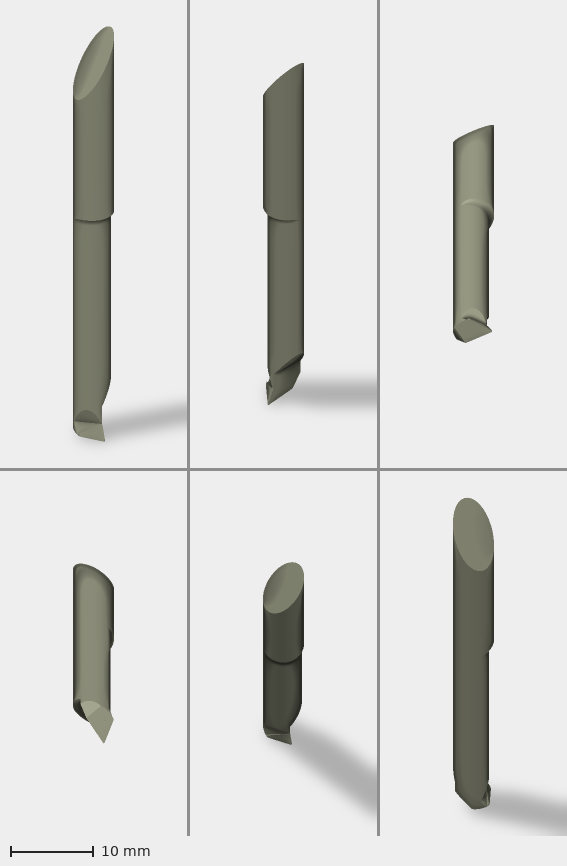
import cadquery as cq
import math

LENGTH = 56.6
RADIUS = 2.5
BEVEL_SLOPE = math.tan(math.radians(60))
MARGIN = 5.65

NECK_OFFSET = 0.75
NECK_TOP = 30.5
NECK_FILLET = 1.0

RAKE_Y = 0.2
RAKE_TOP = 4.5
CLEARANCE_X = 0.16
CLEARANCE_Y = 0.12
BACK_CHAMFER_TOP = 2.7
BACK_CHAMFER_SLOPE = 1.68

GROOVE_Z = 2.1
GROOVE_START = (-0.4, -2.45)
GROOVE_END = (1.75, RAKE_Y)
UPPER_SLOPE = 0.32
LOWER_SLOPE = 0.46

CORNER_Z_MINUS_X = 0.2
FLANK_Z = 0.3
FLANK_Y_RUN = 0.59
FLANK_RISE = 0.36


def prism_along_x(points):
    """Prism spanning the bar in X from a (Y, Z) outline."""
    return cq.Workplane("YZ").polyline(points).close().extrude(MARGIN, both=True)


def prism_along_y(points):
    """Prism spanning the bar in Y from an (X, Z) outline."""
    return cq.Workplane("XZ").polyline(points).close().extrude(MARGIN, both=True)


def end_bevel():
    high = LENGTH + MARGIN * BEVEL_SLOPE
    low_z = LENGTH - (RADIUS + MARGIN) * BEVEL_SLOPE
    return prism_along_x([(-MARGIN, low_z), (RADIUS + MARGIN, high), (-MARGIN, high)])


def rake_cut():
    outer_z = RAKE_TOP + (MARGIN - RAKE_Y) * BEVEL_SLOPE
    return prism_along_x([
        (RAKE_Y, -MARGIN), (MARGIN, -MARGIN), (MARGIN, outer_z), (RAKE_Y, RAKE_TOP),
    ])


def back_chamfer():
    inner_x = -RADIUS + BACK_CHAMFER_TOP / BACK_CHAMFER_SLOPE
    outer_z = BACK_CHAMFER_TOP + (MARGIN - RADIUS) * BACK_CHAMFER_SLOPE
    return prism_along_y([(-MARGIN, outer_z), (inner_x, 0), (-MARGIN, 0)])


def end_clearance():
    """Everything below the end face, which rises away from the cutting tip."""
    normal = cq.Vector(-CLEARANCE_X, -CLEARANCE_Y, -1)
    plane = cq.Plane(origin=(RADIUS, RAKE_Y, 0), xDir=(1, 0, -CLEARANCE_X), normal=normal)
    return cq.Workplane(plane).rect(4 * MARGIN, 4 * MARGIN).extrude(MARGIN)


def neck_relief():
    """Space around the neck, closed at the top by a concave fillet."""
    fillet_top = NECK_TOP + NECK_FILLET
    neck_core = (
        cq.Workplane("XZ")
        .moveTo(0, GROOVE_Z)
        .lineTo(RADIUS, GROOVE_Z)
        .lineTo(RADIUS, NECK_TOP)
        .radiusArc((RADIUS + NECK_FILLET, fillet_top), NECK_FILLET)
        .lineTo(0, fillet_top)
        .close()
        .revolve(360, (0, 0), (0, 1))
        .translate((-NECK_OFFSET, 0, 0))
    )
    envelope = cq.Workplane(origin=(0, 0, GROOVE_Z)).circle(RADIUS).extrude(fillet_top - GROOVE_Z)
    return envelope.cut(neck_core)


def edge_groove():
    run_x = GROOVE_END[0] - GROOVE_START[0]
    run_y = GROOVE_END[1] - GROOVE_START[1]
    plane = cq.Plane(
        origin=(*GROOVE_START, GROOVE_Z), xDir=(run_y, -run_x, 0), normal=(-run_x, -run_y, 0),
    )
    outline = [(0, 0), (MARGIN * UPPER_SLOPE, MARGIN), (MARGIN, MARGIN),
               (MARGIN, -MARGIN), (MARGIN * LOWER_SLOPE, -MARGIN)]
    return cq.Workplane(plane).polyline(outline).close().extrude(2 * MARGIN, both=True)


def corner_flank():
    """Everything outside the flank of the cutting corner."""
    plane = cq.Plane(
        origin=(RADIUS, RAKE_Y, FLANK_Z), xDir=(FLANK_Y_RUN, 1, 0), normal=(1, -FLANK_Y_RUN, FLANK_RISE),
    )
    return cq.Workplane(plane).rect(4 * MARGIN, 4 * MARGIN).extrude(MARGIN)


def bar_blank():
    """The whole bar before the groove and the flank are ground."""
    blank = cq.Workplane().circle(RADIUS).extrude(LENGTH)
    for cutter in (end_bevel(), neck_relief(), rake_cut(), back_chamfer(), end_clearance()):
        blank = blank.cut(cutter)
    return blank


def corner_region():
    return prism_along_y([
        (-MARGIN, CORNER_Z_MINUS_X - MARGIN),
        (GROOVE_Z - CORNER_Z_MINUS_X, GROOVE_Z),
        (MARGIN, GROOVE_Z),
        (MARGIN, CORNER_Z_MINUS_X - MARGIN),
    ])


blank = bar_blank()
shank = blank.cut(edge_groove()).cut(corner_region())
cutting_corner = blank.intersect(corner_region()).cut(corner_flank())

result = cq.Compound.makeCompound([shank.val(), cutting_corner.val()])